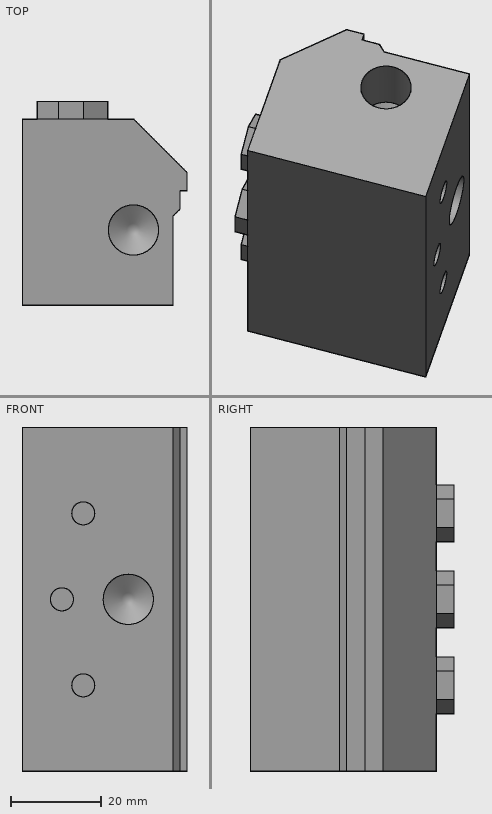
import cadquery as cq
import math

height = 76.2
width = 33.4
depth = 41.2
mid_height = height / 2

overall_width = 36.5
lip_step = (overall_width - width) / 2
lip_chamfer = 11.8
lip_front_y = 25.4
step_front_y = 21.3

port_diameter = 11.1
port_depth = 15.25
drill_point_angle = 118.0
top_port_x = 24.6
top_port_y = 16.7
front_port_x = 23.5

screw_hole_diameter = 5.1
screw_hole_depth = 15.25
screw_spacing = 19.05
outer_screw_x = 13.5
middle_screw_x = 8.8
screw_axes = [
    (outer_screw_x, mid_height + screw_spacing),
    (middle_screw_x, mid_height),
    (outer_screw_x, mid_height - screw_spacing),
]
head_sides = 6
head_across_corners = 12.65
head_height = 4.0


def make_block():
    """Upright prism with a cut corner and a two-step lip."""
    step_x = width + lip_step
    return (
        cq.Workplane("XY")
        .moveTo(0, 0)
        .lineTo(width, 0)
        .lineTo(width, step_front_y - lip_step)
        .lineTo(step_x, step_front_y)
        .lineTo(step_x, lip_front_y)
        .lineTo(overall_width, lip_front_y)
        .lineTo(overall_width, depth - lip_chamfer)
        .lineTo(overall_width - lip_chamfer, depth)
        .lineTo(0, depth)
        .close()
        .extrude(height)
    )


def make_port(mouth, direction):
    """Drilled port: a cylinder that ends in a drill-point cone."""
    radius = port_diameter / 2
    point_length = radius / math.tan(math.radians(drill_point_angle / 2))
    axis = cq.Vector(*direction)
    cylinder = cq.Solid.makeCylinder(radius, port_depth, cq.Vector(*mouth), axis)
    cone_base = cq.Vector(*mouth) + axis * port_depth
    cone = cq.Solid.makeCone(radius, 0, point_length, cone_base, axis)
    return cylinder.fuse(cone)


def make_screw_hole(x, z):
    """Flat-bottomed blind hole entering the -Y face."""
    mouth = cq.Vector(x, 0, z)
    return cq.Solid.makeCylinder(screw_hole_diameter / 2, screw_hole_depth, mouth, cq.Vector(0, 1, 0))


def make_hex_head(x, z):
    """Hexagon head on the +Y face, with two corners pointing along Z."""
    head_plane = cq.Plane(origin=(x, depth, z), xDir=(0, 0, 1), normal=(0, 1, 0))
    return cq.Workplane(head_plane).polygon(head_sides, head_across_corners).extrude(head_height)


result = make_block()
result = result.cut(make_port((top_port_x, top_port_y, height), (0, 0, -1)))
result = result.cut(make_port((front_port_x, 0, mid_height), (0, 1, 0)))
for screw_x, screw_z in screw_axes:
    result = result.cut(make_screw_hole(screw_x, screw_z))
    result = result.union(make_hex_head(screw_x, screw_z))